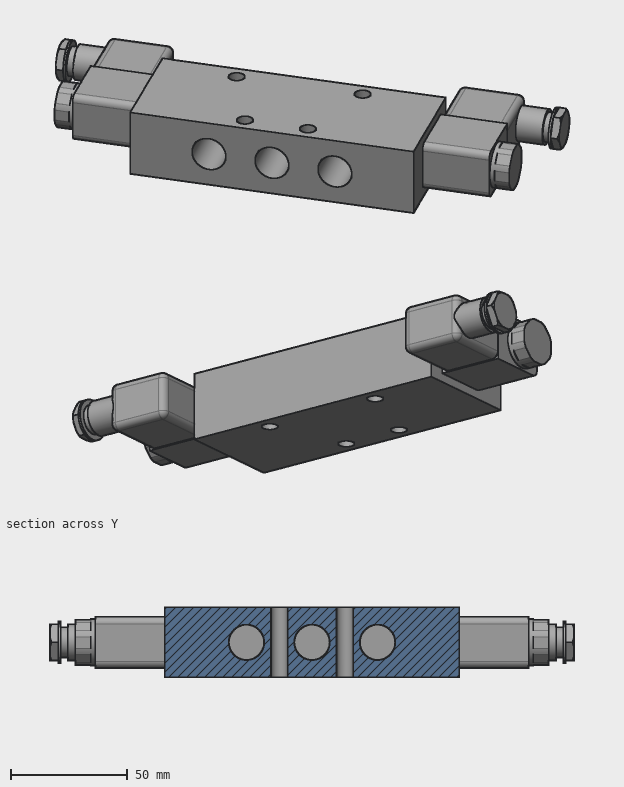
import cadquery as cq


BODY_LENGTH = 126.0
BODY_DEPTH = 50.0
BODY_HEIGHT = 30.0
AXIS_Z = BODY_HEIGHT / 2
BODY_END_X = BODY_LENGTH / 2

PORT_DIAMETER = 15.0
PORT_PITCH = 28.0
PORT_DEPTH = 25.0

MOUNT_DIAMETER = 7.0
MOUNT_INSET = 7.0
FRONT_MOUNT_X = PORT_PITCH / 2
REAR_MOUNT_X = PORT_PITCH

COIL_LENGTH = 29.6
COIL_FRONT_Y = 14.0
COIL_DEPTH = 28.0
COIL_HEIGHT = 22.0
COIL_BACK_Y = COIL_FRONT_Y + COIL_DEPTH
COIL_END_X = BODY_END_X + COIL_LENGTH
CASE_FILLET = 3.0

PLUG_STEP = 0.1
PLUG_CLEARANCE = 0.5
PLUG_LENGTH = COIL_LENGTH - PLUG_CLEARANCE - PLUG_STEP
PLUG_BACK_Y = 71.0
PLUG_DEPTH = PLUG_BACK_Y - COIL_BACK_Y
PLUG_HEIGHT = 21.0

KNOB_Y = 25.0
KNOB_DIAMETER = 20.0
KNOB_LENGTH = 8.5
KNOB_FLATS = 8
KNOB_FLAT_DISTANCE = 9.7
KNOB_FLAT_LENGTH = 6.5

GLAND_Y = 63.0
GLAND_END_X = 112.0
SLEEVE_DIAMETER = 15.6
SLEEVE_END_X = 104.3
NECK_DIAMETER = 13.0
NUT_DIAMETER = 18.0
NUT_LENGTH = 4.6
NUT_FLANGE_LENGTH = 1.0
NUT_BEVEL_AXIAL = 0.7
NUT_BEVEL_RADIAL = 1.0
NUT_START_X = GLAND_END_X - NUT_LENGTH


def x_rod(start_x, end_x, y, diameter):
    """Cylinder along +X at the given Y, on the common axis height."""
    return (
        cq.Workplane("YZ", origin=(start_x, y, AXIS_Z))
        .circle(diameter / 2)
        .extrude(end_x - start_x)
    )


def case_block(start_x, start_y, length, depth, height):
    """Rectangular block centred on the common axis height."""
    return cq.Workplane("XY").box(length, depth, height, centered=(False, False, True)).translate(
        (start_x, start_y, AXIS_Z)
    )


def make_body():
    body = cq.Workplane("XY").box(BODY_LENGTH, BODY_DEPTH, BODY_HEIGHT, centered=(True, False, False))
    ports = (
        cq.Workplane("XZ", origin=(0, 0, AXIS_Z))
        .pushPoints([(i * PORT_PITCH, 0) for i in (-1, 0, 1)])
        .circle(PORT_DIAMETER / 2)
        .extrude(-PORT_DEPTH)
    )
    rear_y = BODY_DEPTH - MOUNT_INSET
    mount_points = []
    for side in (-1, 1):
        mount_points.append((side * FRONT_MOUNT_X, MOUNT_INSET))
        mount_points.append((side * REAR_MOUNT_X, rear_y))
    mounts = cq.Workplane("XY").pushPoints(mount_points).circle(MOUNT_DIAMETER / 2).extrude(BODY_HEIGHT)
    return body.cut(ports).cut(mounts)


def make_coil():
    coil = case_block(BODY_END_X, COIL_FRONT_Y, COIL_LENGTH, COIL_DEPTH, COIL_HEIGHT)
    return coil.faces("<Y").edges("|X").fillet(CASE_FILLET)


def make_plug():
    plug = case_block(BODY_END_X + PLUG_CLEARANCE, COIL_BACK_Y, PLUG_LENGTH, PLUG_DEPTH, PLUG_HEIGHT)
    return plug.edges("not <Y").fillet(CASE_FILLET)


def make_knob():
    end_x = COIL_END_X + KNOB_LENGTH
    knob = x_rod(COIL_END_X, end_x, KNOB_Y, KNOB_DIAMETER)
    flat_cutter = (
        cq.Workplane("XY")
        .box(KNOB_FLAT_LENGTH, KNOB_DIAMETER, KNOB_DIAMETER, centered=(False, True, False))
        .translate((end_x - KNOB_FLAT_LENGTH, KNOB_Y, AXIS_Z + KNOB_FLAT_DISTANCE))
    )
    axis_start = (0, KNOB_Y, AXIS_Z)
    axis_end = (1, KNOB_Y, AXIS_Z)
    for i in range(KNOB_FLATS):
        knob = knob.cut(flat_cutter.rotate(axis_start, axis_end, i * 360 / KNOB_FLATS))
    return knob


def make_gland_nut():
    """Hexagon nut with a round flange behind it and a bevelled outer face."""
    flange = x_rod(NUT_START_X, NUT_START_X + NUT_FLANGE_LENGTH, GLAND_Y, NUT_DIAMETER)
    hexagon = (
        cq.Workplane("YZ", origin=(NUT_START_X, GLAND_Y, AXIS_Z))
        .polygon(6, NUT_DIAMETER)
        .extrude(NUT_LENGTH)
    )
    bevel = (
        x_rod(NUT_START_X, GLAND_END_X, GLAND_Y, NUT_DIAMETER)
        .faces(">X")
        .chamfer(NUT_BEVEL_AXIAL, NUT_BEVEL_RADIAL)
    )
    return flange.union(hexagon.intersect(bevel))


def make_gland():
    sleeve_start_x = COIL_END_X - PLUG_STEP - CASE_FILLET
    sleeve = x_rod(sleeve_start_x, SLEEVE_END_X, GLAND_Y, SLEEVE_DIAMETER)
    neck = x_rod(SLEEVE_END_X, NUT_START_X, GLAND_Y, NECK_DIAMETER)
    return sleeve.union(neck).union(make_gland_nut())


solenoid = make_coil().union(make_plug()).union(make_knob()).union(make_gland())
result = make_body().union(solenoid).union(solenoid.mirror("YZ"))